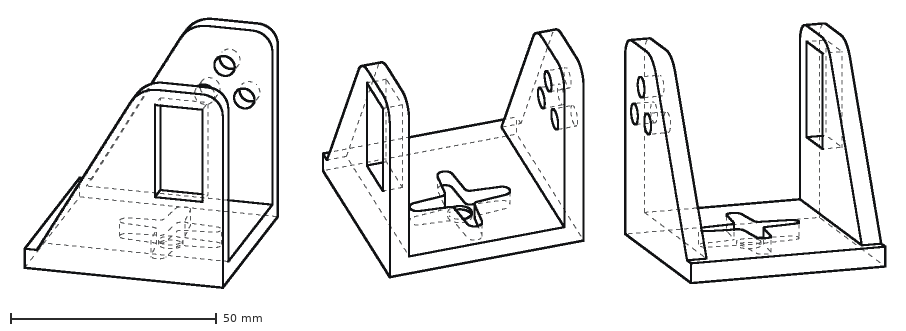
import cadquery as cq
import math

LENGTH = 50.15
WIDTH = 50.0
HEIGHT = 50.0
THICKNESS = 5.0

SLOPE_ANGLE = math.radians(60)
SLOPE_FOOT_X = 3.1
SLOPE_CORNER_RADIUS = 7.9
BACK_CORNER_RADIUS = 5.0

WINDOW_WIDTH = 12.05
WINDOW_HEIGHT = 24.05
WINDOW_BACK_MARGIN = 5.15
WINDOW_TOP_MARGIN = 4.0

WALL_HOLE_DIAMETER = 5.1
TRIANGLE_CENTER_X = LENGTH - 12.15
TRIANGLE_HALF_BASE = 5.0
UPPER_HOLE_Z = HEIGHT - 10.05
LOWER_HOLE_Z = HEIGHT - 18.0

HORN_X = 30.0
HORN_Y = WIDTH / 2
HORN_REACH = 12.85
HORN_TIP_RADIUS = 1.9
HORN_ROOT_HALF_WIDTH = 2.9
HORN_INNER_FILLET = 1.25
HORN_DEPTH = 4.0
SHAFT_HOLE_DIAMETER = 5.9
ARM_COUNT = 4


def side_wall(y_min):
    """Upright wall with a sloped front edge and two rounded top corners."""
    slope_top_x = SLOPE_FOOT_X + (HEIGHT - THICKNESS) / math.tan(SLOPE_ANGLE)
    wall = (
        cq.Workplane("XZ", origin=(0, y_min, 0))
        .moveTo(SLOPE_FOOT_X, 0)
        .lineTo(SLOPE_FOOT_X, THICKNESS)
        .lineTo(slope_top_x, HEIGHT)
        .lineTo(LENGTH, HEIGHT)
        .lineTo(LENGTH, 0)
        .close()
        .extrude(-THICKNESS)
    )
    top_corners = wall.faces(">Z").edges("|Y")
    wall = top_corners.edges("<X").fillet(SLOPE_CORNER_RADIUS)
    return wall.edges("|Y").edges(">X").edges(">Z").fillet(BACK_CORNER_RADIUS)


def servo_window():
    """Rectangular cutter as deep as one wall."""
    return cq.Workplane("XY").box(
        WINDOW_WIDTH, THICKNESS, WINDOW_HEIGHT, centered=False
    ).translate((
        LENGTH - WINDOW_BACK_MARGIN - WINDOW_WIDTH,
        0,
        HEIGHT - WINDOW_TOP_MARGIN - WINDOW_HEIGHT,
    ))


def wall_holes():
    """Three cylinders, one above two, running through the +Y wall."""
    centers = [
        (TRIANGLE_CENTER_X, UPPER_HOLE_Z),
        (TRIANGLE_CENTER_X - TRIANGLE_HALF_BASE, LOWER_HOLE_Z),
        (TRIANGLE_CENTER_X + TRIANGLE_HALF_BASE, LOWER_HOLE_Z),
    ]
    return (
        cq.Workplane("XZ", origin=(0, WIDTH, 0))
        .pushPoints(centers)
        .circle(WALL_HOLE_DIAMETER / 2)
        .extrude(THICKNESS)
    )


def horn_arm():
    """One tapered, round-ended arm pointing along +X from the origin."""
    tip_x = HORN_REACH - HORN_TIP_RADIUS
    return (
        cq.Workplane("XY")
        .moveTo(0, -HORN_ROOT_HALF_WIDTH)
        .lineTo(tip_x, -HORN_TIP_RADIUS)
        .threePointArc((HORN_REACH, 0), (tip_x, HORN_TIP_RADIUS))
        .lineTo(0, HORN_ROOT_HALF_WIDTH)
        .close()
        .extrude(HORN_DEPTH)
    )


def horn_pocket():
    """Cross of four arms with rounded inner corners, open at the base top."""
    cross = horn_arm()
    for i in range(1, ARM_COUNT):
        cross = cross.union(horn_arm().rotate((0, 0, 0), (0, 0, 1), i * 360 / ARM_COUNT))
    zone_half_size = HORN_REACH / 2
    inner_zone = cq.selectors.BoxSelector(
        (-zone_half_size, -zone_half_size, 0),
        (zone_half_size, zone_half_size, HORN_DEPTH),
    )
    cross = cross.edges("|Z").edges(inner_zone).fillet(HORN_INNER_FILLET)
    return cross.translate((HORN_X, HORN_Y, THICKNESS - HORN_DEPTH))


def shaft_hole():
    """Round hole through the base at the horn center."""
    return (
        cq.Workplane("XY", origin=(HORN_X, HORN_Y, 0))
        .circle(SHAFT_HOLE_DIAMETER / 2)
        .extrude(THICKNESS)
    )


base = cq.Workplane("XY").box(LENGTH, WIDTH, THICKNESS, centered=False)
window_wall = side_wall(0).cut(servo_window())
hole_wall = side_wall(WIDTH - THICKNESS).cut(wall_holes())

result = (
    base.union(window_wall)
    .union(hole_wall)
    .cut(horn_pocket())
    .cut(shaft_hole())
)